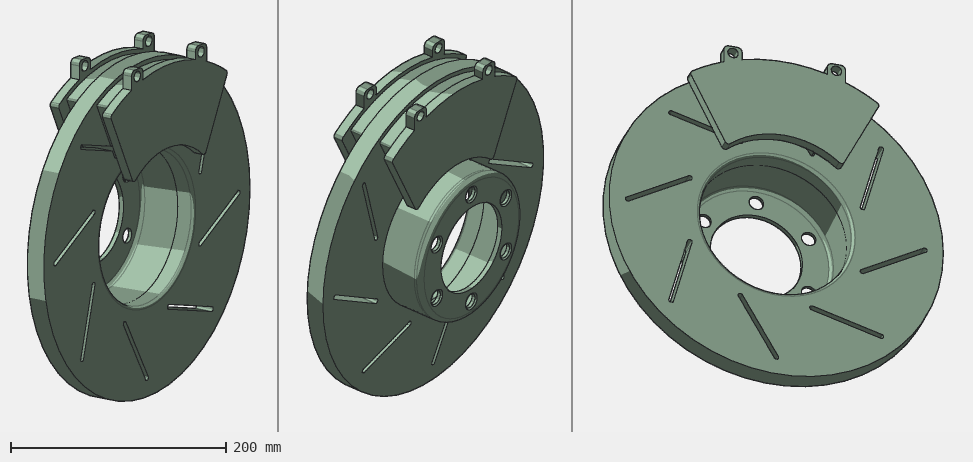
import cadquery as cq
import math


disc_radius = 163.3
disc_thickness = 19.0
disc_front = 45.5
disc_back = disc_front + disc_thickness
hat_radius = 75.0
hat_wall = 0.85
hat_floor = 5.0
hat_edge_fillet = 5.0
cavity_floor_fillet = 3.4
cavity_mouth_fillet = 3.0
cavity_radius = hat_radius - hat_wall
bore_radius = 45.0

bolt_count = 6
bolt_circle_radius = 59.0
first_bolt_angle = 90
bolt_hole_radius = 7.0
bolt_chamfer = 1.5

slot_count = 8
slot_width = 4.5
slot_outer_radius = 145.0
slot_length = 70.0
slot_lean = 30.0

plate_thickness = 10.0
lining_thickness = 15.5
pad_side_angle = 26.5
plate_outer_radius = 163.0
plate_inner_radius = 82.6
plate_half_width_at_axis = 26.1
plate_corner_fillet = 3.3
lining_outer_radius = 159.0
lining_inner_radius = 93.5
lining_half_width_at_axis = 11.0
lining_corner_fillet = 1.5

lug_offset = 50.5
lug_width = 18.0
lug_top = 170.0
lug_corner_fillet = 5.0
lug_hole_height = 163.0
lug_hole_radius = 5.0


def section_plane(x):
    """Plane square to the axis at the given X; its local axes are Y and Z."""
    return cq.Workplane("YZ", origin=(x, 0, 0))


def cylinder(x_start, x_end, radius):
    return section_plane(x_start).circle(radius).extrude(x_end - x_start)


def bolt_places():
    return section_plane(0).polarArray(bolt_circle_radius, first_bolt_angle, 360, bolt_count)


def slot_cutters():
    """One solid for each disc slot, as long as the disc is thick."""
    lean = math.radians(slot_lean)
    middle_y = slot_length / 2 * math.sin(lean)
    middle_z = slot_outer_radius - slot_length / 2 * math.cos(lean)
    first = (
        section_plane(disc_front)
        .center(middle_y, middle_z)
        .slot2D(slot_length + slot_width, slot_width, 90 + slot_lean)
        .extrude(disc_thickness)
    )
    step = 360 / slot_count
    return [first.rotate((0, 0, 0), (1, 0, 0), i * step) for i in range(slot_count)]


def make_disc():
    hat = cylinder(0, disc_front, hat_radius).faces("<X").edges().fillet(hat_edge_fillet)
    disc = hat.union(cylinder(disc_front, disc_back, disc_radius))
    cavity = cylinder(hat_floor, disc_back, cavity_radius).faces("<X").edges().fillet(cavity_floor_fillet)
    disc = disc.cut(cavity)
    disc = disc.faces(">X").edges(cq.selectors.RadiusNthSelector(0)).fillet(cavity_mouth_fillet)
    disc = disc.cut(cylinder(0, hat_floor, bore_radius))
    bolt_holes = bolt_places().circle(bolt_hole_radius).extrude(hat_floor)
    bolt_chamfers = bolt_places().circle(bolt_hole_radius + bolt_chamfer).extrude(bolt_chamfer, taper=45)
    disc = disc.cut(bolt_holes).cut(bolt_chamfers)
    for slot in slot_cutters():
        disc = disc.cut(slot)
    return disc


def pad_sector(x, thickness, inner_radius, outer_radius, half_width_at_axis, corner_fillet):
    """Ring piece about the axis between two straight sides that spread upward."""
    spread = math.tan(math.radians(pad_side_angle))
    half_width_at_top = half_width_at_axis + outer_radius * spread
    wedge = (
        section_plane(x)
        .moveTo(-half_width_at_axis, 0)
        .lineTo(half_width_at_axis, 0)
        .lineTo(half_width_at_top, outer_radius)
        .lineTo(-half_width_at_top, outer_radius)
        .close()
        .extrude(thickness)
    )
    ring = cylinder(x, x + thickness, outer_radius).cut(cylinder(x, x + thickness, inner_radius))
    return ring.intersect(wedge).edges("|X").fillet(corner_fillet)


def make_plate(x):
    plate = pad_sector(
        x,
        plate_thickness,
        plate_inner_radius,
        plate_outer_radius,
        plate_half_width_at_axis,
        plate_corner_fillet,
    )
    lug_base = (plate_inner_radius + plate_outer_radius) / 2
    for side in (-1, 1):
        lug = (
            section_plane(x)
            .center(side * lug_offset, (lug_base + lug_top) / 2)
            .rect(lug_width, lug_top - lug_base)
            .extrude(plate_thickness)
            .edges("|X and >Z")
            .fillet(lug_corner_fillet)
        )
        hole = (
            section_plane(x)
            .center(side * lug_offset, lug_hole_height)
            .circle(lug_hole_radius)
            .extrude(plate_thickness)
        )
        plate = plate.union(lug).cut(hole)
    return plate


def make_lining(x, thickness):
    return pad_sector(
        x,
        thickness,
        lining_inner_radius,
        lining_outer_radius,
        lining_half_width_at_axis,
        lining_corner_fillet,
    )


def make_pads():
    """Both pads as one body: their linings meet through the disc slots that they cover."""
    front_lining_start = disc_front - lining_thickness
    back_lining_end = disc_back + lining_thickness
    pads = make_lining(front_lining_start, lining_thickness)
    pads = pads.union(make_lining(disc_back, lining_thickness))
    pads = pads.union(make_plate(front_lining_start - plate_thickness))
    pads = pads.union(make_plate(back_lining_end))
    slot_fill_shape = make_lining(disc_front, disc_thickness)
    for slot in slot_cutters():
        filled_part = slot.intersect(slot_fill_shape)
        if filled_part.solids().size() > 0:
            pads = pads.union(filled_part)
    return pads


brake_disc = make_disc()
brake_pads = make_pads()
result = cq.Compound.makeCompound([brake_disc.solids().val(), brake_pads.solids().val()])